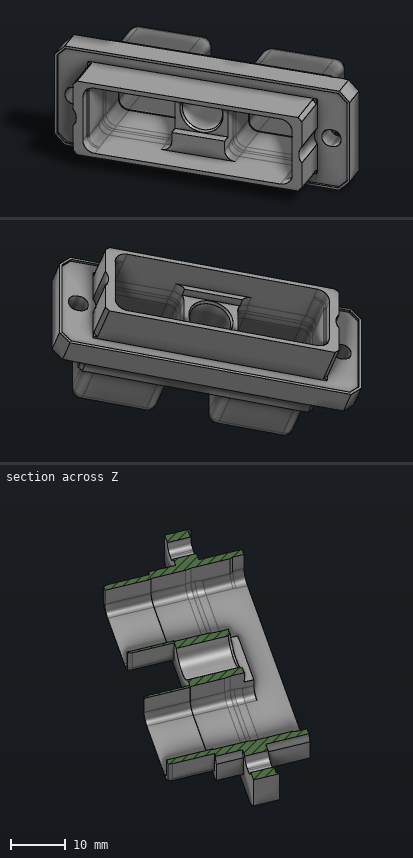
import cadquery as cq
import math


body_width = 44.5
body_height = 15.1
body_depth = 17.9
body_chamfer = 0.75
groove_chord = 3.3
groove_depth = 0.6

flange_width = 57.45
flange_height = 20.33
flange_front = 7.75
flange_thickness = 5.0
flange_chamfer = 2.0
rim_width = 0.5
rim_depth = 0.5
screw_spacing = 50.0
screw_slot_length = 3.75
screw_slot_height = 3.4

overall_depth = 26.73
sleeve_pitch = 25.95
sleeve_width = 16.1
sleeve_height = 13.35
sleeve_radius = 2.0
sleeve_tip_length = 0.85
sleeve_tip_inset = 0.2

cavity_height = 13.35
cavity_radius = 2.0
mouth_radius = 2.3
mouth_depth = 2.2
mouth_ramp_length = 0.55
mouth_ramp_inset = 0.22
cavity_depth = 5.7

pocket_pitch = 25.3
pocket_width = 15.0
floor_ramp_start = 7.9
floor_ramp_length = 1.5
floor_ramp_rise = 0.15
land_radius = 2.2
land_length = 0.8
second_ramp_length = 1.1
second_ramp_inset = 0.18
opening_step = 0.15

notch_depth = 7.5
notch_bottom = -2.85
notch_top = 5.8
web_hole_height = 1.45
web_hole_diameter = 7.8
web_hole_mouth_diameter = 8.4
web_hole_ramp_length = 0.5

cavity_width = pocket_pitch + pocket_width
cavity_start = mouth_depth + mouth_ramp_length
web_width = pocket_pitch - pocket_width


def plane_at(depth):
    """XZ sketch plane at the given depth, extruding toward +Y."""
    return cq.Workplane(cq.Plane(origin=(0, depth, 0), xDir=(1, 0, 0), normal=(0, 1, 0)))


def block(width, height, start, length):
    return plane_at(start).rect(width, height).extrude(length)


def rounded_block(width, height, radius, start, length):
    return block(width, height, start, length).edges("|Y").fillet(radius)


def rounded_sketch(width, height, radius):
    return cq.Sketch().rect(width, height).vertices().fillet(radius)


def ramp(front, back, start, length):
    """Loft between two rounded rectangles, each given as (width, height, radius)."""
    return (
        plane_at(start)
        .placeSketch(
            rounded_sketch(*front),
            rounded_sketch(*back).moved(cq.Location(cq.Vector(0, 0, length))),
        )
        .loft()
    )


def inset(size, amount):
    """Shrink a (width, height, radius) rounded rectangle by the same amount all round."""
    width, height, radius = size
    return width - 2 * amount, height - 2 * amount, radius - amount


def both_sides(shape, pitch):
    left = shape.translate((-pitch / 2, 0, 0))
    right = shape.translate((pitch / 2, 0, 0))
    return left.union(right)


def make_flange():
    flange = block(flange_width, flange_height, flange_front, flange_thickness)
    flange = flange.edges("|Y").chamfer(flange_chamfer)
    recess_chamfer = flange_chamfer - rim_width * (2 - math.sqrt(2))
    recess = block(flange_width - 2 * rim_width, flange_height - 2 * rim_width, flange_front, rim_depth)
    return flange.cut(recess.edges("|Y").chamfer(recess_chamfer))


def make_body():
    body = block(body_width, body_height, 0, body_depth).edges("|Y").chamfer(body_chamfer)
    square_collar = block(body_width, body_height, flange_front, rim_depth)
    return body.union(square_collar)


def make_sleeve():
    size = (sleeve_width, sleeve_height, sleeve_radius)
    sleeve_root = flange_front + flange_thickness
    tip_start = overall_depth - sleeve_tip_length
    sleeve = rounded_block(*size, sleeve_root, tip_start - sleeve_root)
    return sleeve.union(ramp(size, inset(size, sleeve_tip_inset), tip_start, sleeve_tip_length))


def make_cavity():
    mouth = (cavity_width + 2 * mouth_ramp_inset, cavity_height, mouth_radius)
    inner = (cavity_width, cavity_height, cavity_radius)
    cavity = rounded_block(*mouth, 0, mouth_depth)
    cavity = cavity.union(ramp(mouth, inner, mouth_depth, mouth_ramp_length))
    return cavity.union(rounded_block(*inner, cavity_start, cavity_depth - cavity_start))


def make_pocket():
    entry = (pocket_width, cavity_height, cavity_radius)
    land = (pocket_width, cavity_height - 2 * floor_ramp_rise, land_radius)
    throat = inset(land, second_ramp_inset)
    opening = inset(throat, opening_step)
    land_start = floor_ramp_start + floor_ramp_length
    second_ramp_start = land_start + land_length
    throat_start = second_ramp_start + second_ramp_length
    pocket = rounded_block(*entry, cavity_start, floor_ramp_start - cavity_start)
    pocket = pocket.union(ramp(entry, land, floor_ramp_start, floor_ramp_length))
    pocket = pocket.union(rounded_block(*land, land_start, land_length))
    pocket = pocket.union(ramp(land, throat, second_ramp_start, second_ramp_length))
    pocket = pocket.union(rounded_block(*throat, throat_start, body_depth - throat_start))
    return pocket.union(rounded_block(*opening, body_depth, overall_depth - body_depth))


def make_web_notch():
    notch = block(web_width + pocket_width, notch_top - notch_bottom, cavity_depth, notch_depth - cavity_depth)
    return notch.translate((0, 0, (notch_top + notch_bottom) / 2))


def make_web_hole():
    hole = plane_at(notch_depth).circle(web_hole_diameter / 2).extrude(body_depth - notch_depth)
    entry = (
        plane_at(notch_depth)
        .circle(web_hole_mouth_diameter / 2)
        .workplane(offset=web_hole_ramp_length)
        .circle(web_hole_diameter / 2)
        .loft()
    )
    return hole.union(entry).translate((0, 0, web_hole_height))


def make_screw_slot():
    return plane_at(flange_front).slot2D(screw_slot_length, screw_slot_height).extrude(flange_thickness)


def cut_side_grooves(body):
    groove_radius = ((groove_chord / 2) ** 2 + groove_depth**2) / (2 * groove_depth)
    groove_pitch = body_width + 2 * (groove_radius - groove_depth)
    groove = plane_at(0).circle(groove_radius).extrude(body_depth)
    return body.cut(both_sides(groove, groove_pitch))


housing = cut_side_grooves(make_body())
flange = make_flange().cut(both_sides(make_screw_slot(), screw_spacing))
result = housing.union(flange).union(both_sides(make_sleeve(), sleeve_pitch))
result = result.cut(make_cavity()).cut(both_sides(make_pocket(), pocket_pitch))
result = result.cut(make_web_notch()).cut(make_web_hole())